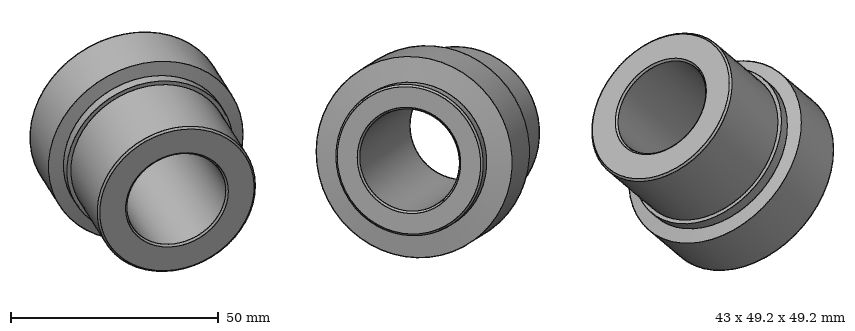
import cadquery as cq

spigot_diameter = 37.0
flange_diameter = 49.2
shoulder_diameter = 42.0
shank_diameter = 40.0
bore_diameter = 25.0

spigot_end = 3.4
rim_start = 4.3
rim_end = 18.75
shoulder_start = 19.35
shoulder_end = 22.0
total_length = 43.0

edge_chamfer = 0.5


def make_body():
    """Revolve the stepped half-profile, with conical flange faces, about X."""
    spigot_radius = spigot_diameter / 2
    flange_radius = flange_diameter / 2
    shoulder_radius = shoulder_diameter / 2
    shank_radius = shank_diameter / 2
    outline = [
        (0, 0),
        (0, spigot_radius - edge_chamfer),
        (edge_chamfer, spigot_radius),
        (spigot_end, spigot_radius),
        (rim_start, flange_radius),
        (rim_end, flange_radius),
        (shoulder_start, shoulder_radius),
        (shoulder_end, shoulder_radius),
        (shoulder_end, shank_radius),
        (total_length - edge_chamfer, shank_radius),
        (total_length, shank_radius - edge_chamfer),
        (total_length, 0),
    ]
    return cq.Workplane("XY").polyline(outline).close().revolve(360, (0, 0, 0), (1, 0, 0))


def make_bore():
    """Through bore along X, flared by a chamfer at both ends."""
    bore_radius = bore_diameter / 2
    mouth_radius = bore_radius + edge_chamfer
    outline = [
        (0, 0),
        (0, mouth_radius),
        (edge_chamfer, bore_radius),
        (total_length - edge_chamfer, bore_radius),
        (total_length, mouth_radius),
        (total_length, 0),
    ]
    return cq.Workplane("XY").polyline(outline).close().revolve(360, (0, 0, 0), (1, 0, 0))


result = make_body().cut(make_bore())